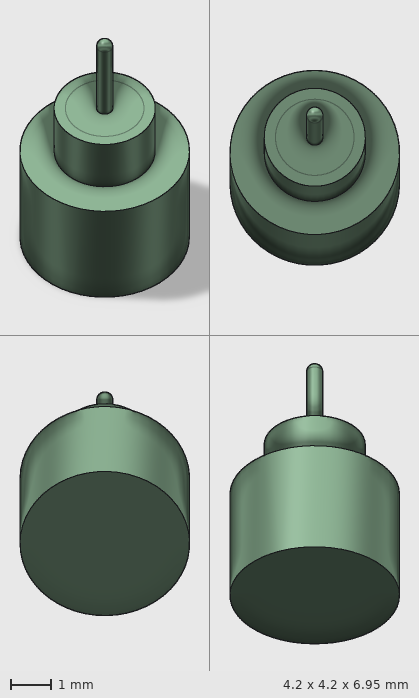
import cadquery as cq

total_height = 6.95
body_diameter = 4.2
body_height = 3.05
collar_diameter = 2.5
collar_height = 1.5
insert_diameter = 1.945
pin_diameter = 0.4

pin_radius = pin_diameter / 2
collar_top = body_height + collar_height
pin_height = total_height - collar_top


def cylinder(diameter, height, base_z):
    """Upright cylinder on the Z axis, standing at base_z."""
    return cq.Workplane("XY").workplane(offset=base_z).circle(diameter / 2).extrude(height)


body = cylinder(body_diameter, body_height, 0)
collar = cylinder(collar_diameter, collar_height, body_height)
housing = body.union(collar)

insert = cylinder(insert_diameter, collar_height, body_height)
housing = housing.cut(insert).union(insert, clean=False)

pin_shank = cylinder(pin_diameter, pin_height - pin_radius, collar_top)
pin_tip = cq.Workplane("XY").sphere(pin_radius).translate((0, 0, total_height - pin_radius))
pin = pin_shank.union(pin_tip)

result = housing.union(pin, clean=False)